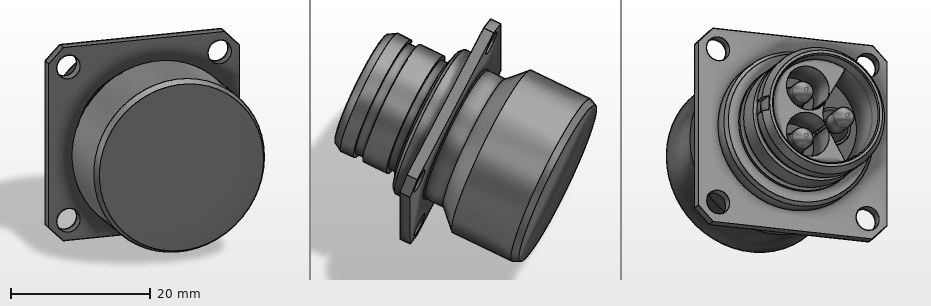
import cadquery as cq
import math

overall_length = 31.5
nose_chamfer_length = 1.25
nose_rim_end = 3.37
seal_groove_end = 4.85
nose_collar_end = 8.65
rear_groove_end = 10.0
thin_ring_end = 10.52
shoulder_chamfer = 0.5
plate_front = 13.42
plate_thickness = 1.65
relief_length = 0.22
neck_end = 18.18
cone_length = 2.75
rear_chamfer_length = 1.05

nose_face_radius = 8.7
nose_rim_radius = 9.45
nose_collar_radius = 9.4
seal_groove_radius = 8.8
rear_groove_radius = 8.7
thin_ring_radius = 9.45
shoulder_radius = 11.53
relief_radius = 10.4
neck_radius = 10.25
sleeve_radius = neck_radius + cone_length
rear_chamfer_depth = 0.5

plate_side = 29.0
plate_corner_cut = 2.25
plate_hole_offset = 11.5
plate_hole_radius = 1.75

mouth_radius = 8.25
mouth_chamfer = 0.2
socket_radius = mouth_radius - mouth_chamfer
insert_radius = 7.9
insert_face = 2.2
keyway_width = 2.08
keyway_floor_radius = 8.75

cavity_floor = 8.5
contact_y = 2.0
contact_z = 3.45
contact_cavity_radius = 3.28
earth_y = -3.97
earth_pocket_radius = 3.62
earth_pocket_half_angle = 30.0
pin_tip_flat_radius = 0.28
contact_tip = 2.87
contact_dome_radius = 1.55
contact_base_radius = 1.85
earth_tip = 1.92
earth_dome_radius = 1.5
earth_base_radius = 2.4
earth_collar_radius = 2.77
earth_collar_height = 0.63
pin_cone_length = 1.25
pin_root = 0.63


def revolve_about_x(profile):
    return profile.close().revolve(360, (0, 0, 0), (1, 0, 0))


def cylinder_along_x(radius, start, end, y=0.0, z=0.0):
    return cq.Workplane("YZ", origin=(start, y, z)).circle(radius).extrude(end - start)


def turned_body():
    plate_back = plate_front + plate_thickness
    outline = [
        (0, 0),
        (0, nose_face_radius),
        (nose_chamfer_length, nose_rim_radius),
        (nose_rim_end, nose_collar_radius),
        (nose_rim_end, seal_groove_radius),
        (seal_groove_end, seal_groove_radius),
        (seal_groove_end, nose_collar_radius),
        (nose_collar_end, nose_collar_radius),
        (nose_collar_end, rear_groove_radius),
        (rear_groove_end, rear_groove_radius),
        (rear_groove_end, thin_ring_radius),
        (thin_ring_end, thin_ring_radius),
        (thin_ring_end, shoulder_radius - shoulder_chamfer),
        (thin_ring_end + shoulder_chamfer, shoulder_radius),
        (plate_front, shoulder_radius),
        (plate_back, relief_radius),
        (plate_back + relief_length, neck_radius),
        (neck_end, neck_radius),
        (neck_end + cone_length, sleeve_radius),
        (overall_length - rear_chamfer_length, sleeve_radius),
        (overall_length, sleeve_radius - rear_chamfer_depth),
        (overall_length, 0),
    ]
    return revolve_about_x(cq.Workplane("XY").polyline(outline))


def mounting_plate():
    plate = (
        cq.Workplane("YZ", origin=(plate_front, 0, 0))
        .rect(plate_side, plate_side)
        .extrude(plate_thickness)
        .edges("|X")
        .chamfer(plate_corner_cut)
    )
    hole_pitch = 2 * plate_hole_offset
    return (
        plate.faces("<X")
        .workplane(centerOption="CenterOfBoundBox")
        .rect(hole_pitch, hole_pitch, forConstruction=True)
        .vertices()
        .hole(2 * plate_hole_radius)
    )


def socket():
    """Chamfered mouth and slightly tapered bore down to the insert face."""
    outline = [
        (0, 0),
        (0, mouth_radius),
        (mouth_chamfer, socket_radius),
        (insert_face, insert_radius),
        (insert_face, 0),
    ]
    return revolve_about_x(cq.Workplane("XY").polyline(outline))


def keyway():
    """Flat-floored slot across the nose rim on the +Y side."""
    cutter_height = nose_rim_radius
    slot = cq.Workplane("XY", origin=(0, keyway_floor_radius, 0))
    return slot.box(nose_rim_end, cutter_height, keyway_width, centered=(False, False, True))


def earth_pocket():
    """Wedge around the earth pin: a rounded apex with tangent sides, bounded by the insert."""
    angle = math.radians(earth_pocket_half_angle)
    tangent_y = earth_y + earth_pocket_radius * math.cos(angle)
    tangent_z = earth_pocket_radius * math.sin(angle)
    side_length = 2 * insert_radius
    outer_y = tangent_y - side_length * math.sin(angle)
    outer_z = tangent_z + side_length * math.cos(angle)
    wedge = (
        cq.Workplane("YZ", origin=(insert_face, 0, 0))
        .moveTo(outer_y, outer_z)
        .lineTo(tangent_y, tangent_z)
        .threePointArc((earth_y + earth_pocket_radius, 0), (tangent_y, -tangent_z))
        .lineTo(outer_y, -outer_z)
        .lineTo(outer_y - side_length, -outer_z)
        .lineTo(outer_y - side_length, outer_z)
        .close()
        .extrude(cavity_floor - insert_face)
    )
    return wedge.intersect(cylinder_along_x(insert_radius, insert_face, cavity_floor))


def pin(tip, dome_radius, base_radius, cone_end, y, z):
    """Domed pin with a small flat on its tip and a cone widening to its base."""
    dome_center = tip + math.sqrt(dome_radius**2 - pin_tip_flat_radius**2)
    diagonal = dome_radius * math.sqrt(0.5)
    end = cavity_floor + pin_root
    profile = (
        cq.Workplane("XY")
        .moveTo(tip, 0)
        .lineTo(tip, pin_tip_flat_radius)
        .threePointArc((dome_center - diagonal, diagonal), (dome_center, dome_radius))
        .lineTo(cone_end - pin_cone_length, dome_radius)
        .lineTo(cone_end, base_radius)
        .lineTo(end, base_radius)
        .lineTo(end, 0)
    )
    return revolve_about_x(profile).translate((0, y, z))


result = turned_body().union(mounting_plate())
result = result.cut(socket()).cut(keyway()).cut(earth_pocket())

for z in (contact_z, -contact_z):
    cavity = cylinder_along_x(contact_cavity_radius, insert_face, cavity_floor, contact_y, z)
    contact_pin = pin(contact_tip, contact_dome_radius, contact_base_radius, cavity_floor, contact_y, z)
    result = result.cut(cavity).union(contact_pin)

earth_collar_front = cavity_floor - earth_collar_height
earth_collar = cylinder_along_x(earth_collar_radius, earth_collar_front, cavity_floor + pin_root, earth_y)
earth_pin = pin(earth_tip, earth_dome_radius, earth_base_radius, earth_collar_front, earth_y, 0)
result = result.union(earth_collar).union(earth_pin)